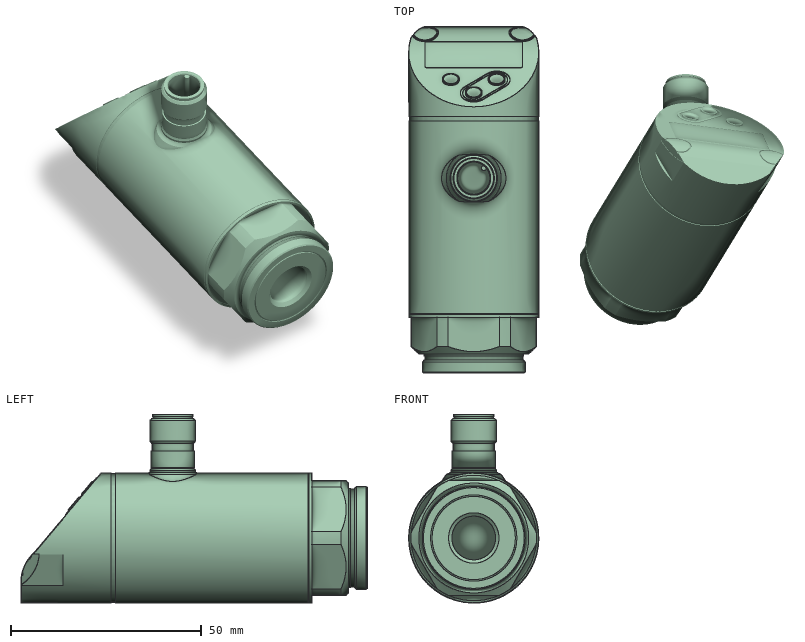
import cadquery as cq
import math

LENGTH = 90.7
TOP_Z = 32.35

RIM_DIA = 27.0
RIM_BACK = 2.8
RIM_CHAMFER = 0.3
RELIEF_DIA = 26.0
RELIEF_FRONT = 3.4
GROOVE_DIA = 25.7
GROOVE_BACK = 4.4
HEX_FLATS = 30.0
HEX_ROTATION = 30.0
HEX_CORNER_DIA = 32.88
HEX_FRONT = 5.0
HEX_FRONT_DIA = 28.8
HEX_CHAMFER_BACK = 6.9
SEAL_OUTER_DIA = 22.6
SEAL_INNER_DIA = 21.8
SEAL_DEPTH = 0.4
BORE_DIA = 11.45
BORE_MOUTH_DIA = 13.2
BORE_DEPTH = 12.0

HOUSING_DIA = 34.1
GROOVED_DIA = 33.8
HOUSING_FRONT = 14.55
RECESS_BACK = 15.0
COLLAR_BACK = 15.25
COLLAR_GROOVE_BACK = 15.5
JOINT_FRONT = 66.0
JOINT_BACK = 67.1

SLOPE_TOP_Y = 69.7
SLOPE_END_Y = LENGTH - 3.4
SLOPE_END_Z = -3.9
TIP_MID_Y = LENGTH - 0.85
TIP_MID_Z = -7.4
TIP_END_Z = -10.5
SLOPE_RUN = SLOPE_END_Y - SLOPE_TOP_Y
SLOPE_RISE = HOUSING_DIA / 2 - SLOPE_END_Z
SLOPE_ANGLE = math.atan2(SLOPE_RISE, SLOPE_RUN)

FLAT_DISTANCE = 16.4
FLAT_ANGLE = 31.0
FLAT_START_Y = 79.7
FLAT_STEP_DEPTH = 0.08
FLAT_STEP_RADIUS = 12.7
FLAT_STEP_Y = LENGTH + 7.95
FLAT_STEP_OFFSET = 5.35

LAMP_X = 12.8
LAMP_Y = LENGTH - 1.3
LAMP_Z = -6.2
LAMP_DIA = 7.1
LAMP_TILT = 30.0
LAMP_GROOVE_WIDTH = 0.4
LAMP_GROOVE_DEPTH = 0.3

WINDOW_WIDTH = 25.5
WINDOW_NEAR = 3.9
WINDOW_FAR = 10.7
WINDOW_CORNER = 0.4
WINDOW_DEPTH = 0.1
KEY_DIA = 4.45
KEY_RIM_WIDTH = 0.3
KEY_RIM_HEIGHT = 0.4
KEY_DISH_DEPTH = 0.4
KEY_SPACING = 6.0
SIDE_KEYS_FROM_TIP = 14.0
CENTER_KEY_FROM_TIP = 17.5
FRAME_OUTER_RADIUS = 3.5
FRAME_INNER_RADIUS = 2.9
FRAME_HEIGHT = 0.15

PLUG_Y = 51.0
PLUG_ROOT_Z = 10.0
FOOT_DIA = 16.9
FOOT_Z = 14.8
FOOT_CONE_DIA = 14.4
FOOT_CONE_Z = 16.6
FOOT_TOP_DIA = 12.4
FOOT_TOP_Z = 17.1
COLLAR_DIA = 12.0
COLLAR_TOP_Z = 17.7
SHANK_GROOVE_DIA = 11.3
SHANK_GROOVE_WIDTH = 0.3
SHANK_DIA = 11.45
SHANK_Z = 18.5
SHANK_TOP_Z = 22.8
NECK_DIA = 10.8
THREAD_DIA = 12.0
THREAD_Z = 25.4
THREAD_RUNOUT = 0.7
THREAD_TOP_Z = 30.75
LIP_NECK_DIA = 10.39
LIP_DIA = 10.55
LIP_Z = 31.8
PLUG_BORE_DIA = 8.45
PLUG_MOUTH_DIA = 8.9
PLUG_BORE_DEPTH = 9.0
PLUG_KEY_DIA = 1.3
PLUG_KEY_RADIUS = 3.75
PLUG_KEY_ANGLE = 45.0
PLUG_KEY_RECESS = 0.4


def cylinder_y(dia, start, end):
    """Solid cylinder on the body axis between two Y positions."""
    return cq.Workplane("XZ", origin=(0, start, 0)).circle(dia / 2).extrude(start - end)


def ring(plane, outer_radius, inner_radius, height):
    """Flat ring standing on a plane; a negative height goes below the plane."""
    return plane.circle(outer_radius).circle(inner_radius).extrude(height)


def revolve_profile(plane, points):
    """Solid of revolution about the local Y axis of a standard plane through the origin."""
    return cq.Workplane(plane).polyline(points).close().revolve(360, (0, 0, 0), (0, 1, 0))


def make_connection():
    profile = [
        (0, 0),
        (RIM_DIA / 2 - RIM_CHAMFER, 0),
        (RIM_DIA / 2, RIM_CHAMFER),
        (RIM_DIA / 2, RIM_BACK),
        (RELIEF_DIA / 2, RELIEF_FRONT),
        (GROOVE_DIA / 2, RELIEF_FRONT),
        (GROOVE_DIA / 2, GROOVE_BACK),
        (RELIEF_DIA / 2, GROOVE_BACK),
        (RELIEF_DIA / 2, HEX_FRONT),
        (0, HEX_FRONT),
    ]
    rim = revolve_profile("XY", profile)
    hex_limit_profile = [
        (0, HEX_FRONT),
        (HEX_FRONT_DIA / 2, HEX_FRONT),
        (HEX_CORNER_DIA / 2, HEX_CHAMFER_BACK),
        (HEX_CORNER_DIA / 2, RECESS_BACK),
        (0, RECESS_BACK),
    ]
    hex_limit = revolve_profile("XY", hex_limit_profile)
    hexagon = (
        cq.Workplane("XZ", origin=(0, HEX_FRONT, 0))
        .transformed(rotate=(0, 0, HEX_ROTATION))
        .polygon(6, HEX_FLATS, circumscribed=True)
        .extrude(HEX_FRONT - RECESS_BACK)
    )
    return rim.union(hexagon.intersect(hex_limit))


def make_housing():
    sections = [
        (HOUSING_DIA, HOUSING_FRONT, COLLAR_BACK),
        (GROOVED_DIA, COLLAR_BACK, COLLAR_GROOVE_BACK),
        (HOUSING_DIA, COLLAR_GROOVE_BACK, JOINT_FRONT),
        (GROOVED_DIA, JOINT_FRONT, JOINT_BACK),
    ]
    housing = make_head()
    for dia, start, end in sections:
        housing = housing.union(cylinder_y(dia, start, end))
    return housing.cut(cylinder_y(HEX_CORNER_DIA, HOUSING_FRONT, RECESS_BACK))


def flat_plane(side):
    """Workplane on a head flat: local X along Y, local Z outward; side is +1 or -1."""
    angle = math.radians(FLAT_ANGLE)
    normal = (side * math.cos(angle), 0, -math.sin(angle))
    origin = tuple(FLAT_DISTANCE * n for n in normal)
    return cq.Workplane(cq.Plane(origin=origin, xDir=(0, 1, 0), normal=normal))


def make_head_outline(inset):
    """Side outline of the head, as wide as the head, with its sloped end moved inward by inset along Y."""
    radius = HOUSING_DIA / 2
    return (
        cq.Workplane("YZ", origin=(-radius, 0, 0))
        .moveTo(JOINT_BACK, -radius)
        .lineTo(LENGTH - inset, -radius)
        .lineTo(LENGTH - inset, TIP_END_Z)
        .threePointArc((TIP_MID_Y - inset, TIP_MID_Z), (SLOPE_END_Y - inset, SLOPE_END_Z))
        .lineTo(SLOPE_TOP_Y - inset, radius)
        .lineTo(JOINT_BACK, radius)
        .close()
        .extrude(HOUSING_DIA)
    )


def make_head():
    radius = HOUSING_DIA / 2
    head = cylinder_y(HOUSING_DIA, JOINT_BACK, LENGTH).intersect(make_head_outline(0))
    for side in (-1, 1):
        flat_length = LENGTH - FLAT_START_Y
        flat_cut = (
            flat_plane(side)
            .center(FLAT_START_Y + flat_length / 2, 0)
            .rect(flat_length, HOUSING_DIA)
            .extrude(radius - FLAT_DISTANCE)
        )
        step = (
            flat_plane(side)
            .center(FLAT_STEP_Y, side * FLAT_STEP_OFFSET)
            .circle(FLAT_STEP_RADIUS)
            .extrude(-FLAT_STEP_DEPTH)
        )
        head = head.cut(flat_cut).cut(step).cut(make_lamp_groove(side))
    return head


def make_lamp_groove(side):
    """Circular groove around an indicator window, following the curve of the tip."""
    tilt = math.radians(LAMP_TILT)
    plane = cq.Plane(
        origin=(side * LAMP_X, LAMP_Y, LAMP_Z),
        xDir=(1, 0, 0),
        normal=(0, math.cos(tilt), math.sin(tilt)),
    )
    outer = LAMP_DIA / 2
    tube_base = cq.Workplane(plane).workplane(offset=-LAMP_DIA)
    tube = ring(tube_base, outer, outer - LAMP_GROOVE_WIDTH, 2 * LAMP_DIA)
    return tube.cut(make_head_outline(LAMP_GROOVE_DEPTH))


def slope_distance(from_tip):
    """Distance up the sloped face from its lower edge for a point this far from the tip along Y."""
    return (SLOPE_END_Y - (LENGTH - from_tip)) / math.cos(SLOPE_ANGLE)


def slope_plane():
    """Workplane on the sloped face: origin at its lower edge, local Y up the slope."""
    return cq.Workplane(
        cq.Plane(
            origin=(0, SLOPE_END_Y, SLOPE_END_Z),
            xDir=(-1, 0, 0),
            normal=(0, math.sin(SLOPE_ANGLE), math.cos(SLOPE_ANGLE)),
        )
    )


def make_window():
    near = slope_distance(WINDOW_NEAR)
    far = slope_distance(WINDOW_FAR)
    return (
        slope_plane()
        .center(0, (near + far) / 2)
        .sketch()
        .rect(WINDOW_WIDTH, far - near)
        .vertices()
        .fillet(WINDOW_CORNER)
        .finalize()
        .extrude(-WINDOW_DEPTH)
    )


def key_dish(x, y):
    """Spherical dish reaching from the top of a key rim to below the sloped face."""
    radius = KEY_DIA / 2 - KEY_RIM_WIDTH
    dish_depth = KEY_RIM_HEIGHT + KEY_DISH_DEPTH
    sphere_radius = (radius**2 + dish_depth**2) / (2 * dish_depth)
    center_height = sphere_radius - KEY_DISH_DEPTH
    return slope_plane().center(x, y).workplane(offset=center_height).sphere(sphere_radius)


def add_keys(body):
    side_y = slope_distance(SIDE_KEYS_FROM_TIP)
    center_y = slope_distance(CENTER_KEY_FROM_TIP)
    for x, y in [(-KEY_SPACING, side_y), (KEY_SPACING, side_y), (0, center_y)]:
        rim = slope_plane().center(x, y).circle(KEY_DIA / 2).extrude(KEY_RIM_HEIGHT)
        body = body.union(rim).cut(key_dish(x, y))
    return body


def make_key_frame():
    """Raised oblong frame around the center key and the +X key."""
    side_y = slope_distance(SIDE_KEYS_FROM_TIP)
    center_y = slope_distance(CENTER_KEY_FROM_TIP)
    span = math.hypot(KEY_SPACING, center_y - side_y)
    angle = math.degrees(math.atan2(center_y - side_y, KEY_SPACING))
    middle = slope_plane().center(-KEY_SPACING / 2, (side_y + center_y) / 2)
    outer = middle.slot2D(span + 2 * FRAME_OUTER_RADIUS, 2 * FRAME_OUTER_RADIUS, angle).extrude(FRAME_HEIGHT)
    inner = middle.slot2D(span + 2 * FRAME_INNER_RADIUS, 2 * FRAME_INNER_RADIUS, angle).extrude(FRAME_HEIGHT)
    return outer.cut(inner)


def make_plug():
    neck_z = THREAD_TOP_Z + (THREAD_DIA - NECK_DIA) / 2
    corners = [
        (FOOT_DIA, PLUG_ROOT_Z),
        (FOOT_DIA, FOOT_Z),
        (FOOT_CONE_DIA, FOOT_CONE_Z),
        (FOOT_TOP_DIA, FOOT_TOP_Z),
        (COLLAR_DIA, FOOT_TOP_Z),
        (COLLAR_DIA, COLLAR_TOP_Z),
        (SHANK_GROOVE_DIA, SHANK_Z - SHANK_GROOVE_WIDTH),
        (SHANK_GROOVE_DIA, SHANK_Z),
        (SHANK_DIA, SHANK_Z),
        (SHANK_DIA, SHANK_TOP_Z),
        (NECK_DIA, SHANK_TOP_Z),
        (NECK_DIA, THREAD_Z - THREAD_RUNOUT),
        (THREAD_DIA, THREAD_Z),
        (THREAD_DIA, THREAD_TOP_Z),
        (NECK_DIA, neck_z),
        (LIP_NECK_DIA, neck_z),
        (LIP_NECK_DIA, LIP_Z),
        (LIP_DIA, LIP_Z),
        (LIP_DIA, TOP_Z),
    ]
    profile = [(0, PLUG_ROOT_Z)]
    profile += [(dia / 2, z) for dia, z in corners]
    profile += [(0, TOP_Z)]
    plug = revolve_profile("XZ", profile)
    mouth_depth = (PLUG_MOUTH_DIA - PLUG_BORE_DIA) / 2
    bore_profile = [
        (0, TOP_Z),
        (PLUG_MOUTH_DIA / 2, TOP_Z),
        (PLUG_BORE_DIA / 2, TOP_Z - mouth_depth),
        (PLUG_BORE_DIA / 2, TOP_Z - PLUG_BORE_DEPTH),
        (0, TOP_Z - PLUG_BORE_DEPTH),
    ]
    bore = revolve_profile("XZ", bore_profile)
    key_angle = math.radians(PLUG_KEY_ANGLE)
    key = (
        cq.Workplane("XY", origin=(0, 0, TOP_Z - PLUG_BORE_DEPTH))
        .center(PLUG_KEY_RADIUS * math.cos(key_angle), PLUG_KEY_RADIUS * math.sin(key_angle))
        .circle(PLUG_KEY_DIA / 2)
        .extrude(PLUG_BORE_DEPTH - PLUG_KEY_RECESS)
    )
    return plug.cut(bore).union(key).translate((0, PLUG_Y, 0))


def make_bore():
    mouth_depth = (BORE_MOUTH_DIA - BORE_DIA) / 2
    profile = [
        (0, 0),
        (BORE_MOUTH_DIA / 2, 0),
        (BORE_DIA / 2, mouth_depth),
        (BORE_DIA / 2, BORE_DEPTH),
        (0, BORE_DEPTH),
    ]
    return revolve_profile("XY", profile)


seal_groove = ring(cq.Workplane("XZ"), SEAL_OUTER_DIA / 2, SEAL_INNER_DIA / 2, -SEAL_DEPTH)

body = make_connection().union(make_housing()).union(make_plug())
body = body.cut(make_bore()).cut(seal_groove).cut(make_window())
result = add_keys(body).union(make_key_frame())